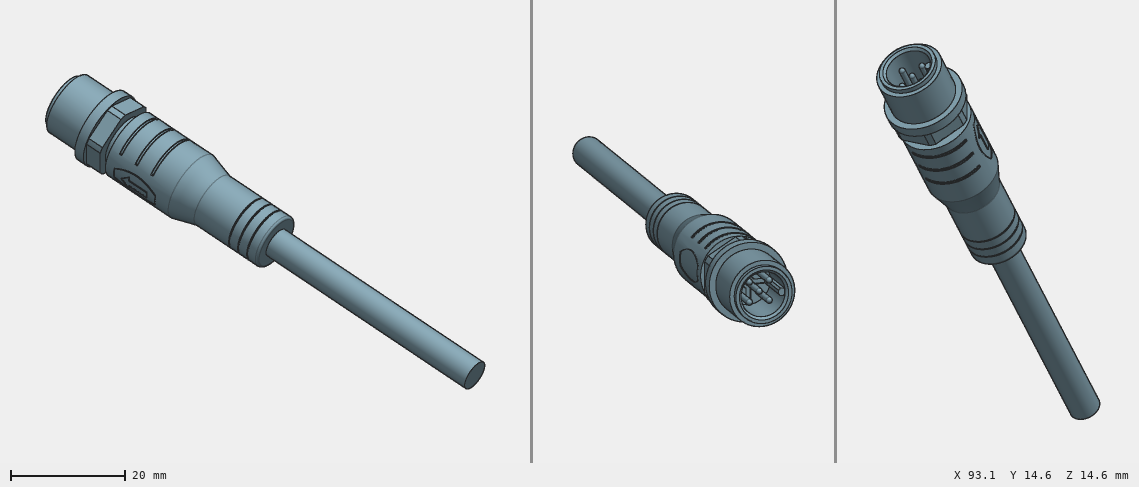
import cadquery as cq
import math

total_length = 93.1
lip_end = 0.9
barrel_end = 8.3
flange_end = 10.2
hex_end = 13.3
neck_end = 14.7
grip_end = 29.0
taper_end = 33.7
connector_end = 48.0

lip_radius = 5.2
barrel_radius = 6.05
flange_radius = 7.3
hex_across_flats = 12.7
hex_corner_radius = 7.0
neck_radius = 4.9
grip_radius = 6.6
sleeve_radius = 5.2
sleeve_end_fillet = 0.5
cable_radius = 2.8

socket_depth = barrel_end
socket_radius = 4.1
socket_mouth_radius = 4.6
mouth_depth = 0.5

pin_radius = 0.6
pin_tip = 2.0
pin_circle_radius = 2.6
pin_offset = pin_circle_radius * math.cos(math.pi / 4)

slot_width = 0.9
slot_reach = 3.5
slot_depth = 0.5
hub_radius = 1.1

key_start = 0.8
key_inner_face = 3.0
key_width = 1.4
key_chamfer = 0.4

recess_depth = 0.2
grip_groove_width = 0.5
grip_groove_first = 16.85
grip_groove_pitch = 3.5
grip_groove_count = 3
grip_groove_end_height = 4.3
label_center = 21.2
label_length = 9.3
label_end_height = 2.6
label_mid_height = 5.4
arrow_tip = 18.25
arrow_head_end = 19.9
arrow_tail = 24.0
arrow_head_height = 3.2
arrow_shaft_height = 1.5
sleeve_groove_width = 0.2
sleeve_groove_depth = 0.3
sleeve_groove_first = 41.6
sleeve_groove_pitch = 2.05
sleeve_groove_count = 3


def cylinder_x(start, end, radius):
    """Cylinder along X between two stations."""
    return cq.Workplane("YZ", origin=(start, 0, 0)).circle(radius).extrude(end - start)


def ring_x(start, end, inner_radius, outer_radius):
    """Tube along X between two stations."""
    return cylinder_x(start, end, outer_radius).cut(cylinder_x(start, end, inner_radius))


def turned_shell():
    """Revolved outer shape of the connector."""
    profile = (
        cq.Workplane("XY")
        .moveTo(0, 0)
        .lineTo(0, lip_radius)
        .lineTo(lip_end, lip_radius)
        .lineTo(lip_end, barrel_radius)
        .lineTo(barrel_end, barrel_radius)
        .lineTo(barrel_end, flange_radius)
        .lineTo(flange_end, flange_radius)
        .lineTo(flange_end, neck_radius)
        .lineTo(neck_end, neck_radius)
        .lineTo(neck_end, grip_radius)
        .lineTo(grip_end, grip_radius)
        .lineTo(taper_end, sleeve_radius)
        .lineTo(connector_end, sleeve_radius)
        .lineTo(connector_end, 0)
        .close()
    )
    shell = profile.revolve(360, (0, 0, 0), (1, 0, 0))
    return shell.faces(">X").edges().fillet(sleeve_end_fillet)


def hex_collar():
    """Hexagon with two flats facing -Y and +Y and its corners turned round."""
    across_corners = hex_across_flats / math.cos(math.pi / 6)
    hexagon = (
        cq.Workplane("YZ", origin=(flange_end, 0, 0))
        .transformed(rotate=(0, 0, 90))
        .polygon(6, across_corners)
        .extrude(hex_end - flange_end)
    )
    return hexagon.intersect(cylinder_x(flange_end, hex_end, hex_corner_radius))


def socket():
    """Blind bore with a conical mouth, open at the mating end."""
    return (
        cq.Workplane("XY")
        .moveTo(0, 0)
        .lineTo(0, socket_mouth_radius)
        .lineTo(mouth_depth, socket_radius)
        .lineTo(socket_depth, socket_radius)
        .lineTo(socket_depth, 0)
        .close()
        .revolve(360, (0, 0, 0), (1, 0, 0))
    )


def cross_slot():
    """Shallow cross in the socket floor, with a round hub."""
    floor = cq.Workplane("YZ", origin=(socket_depth, 0, 0))
    arms = floor.rect(2 * slot_reach, slot_width).extrude(slot_depth)
    arms = arms.union(floor.rect(slot_width, 2 * slot_reach).extrude(slot_depth))
    hub = floor.circle(hub_radius).extrude(slot_depth)
    return arms.union(hub)


def coding_key():
    """Rib on the -Y side of the socket, with its inner edges bevelled."""
    half_width = key_width / 2
    return (
        cq.Workplane("YZ", origin=(key_start, 0, 0))
        .polyline([
            (-socket_mouth_radius, -half_width),
            (-key_inner_face - key_chamfer, -half_width),
            (-key_inner_face, -half_width + key_chamfer),
            (-key_inner_face, half_width - key_chamfer),
            (-key_inner_face - key_chamfer, half_width),
            (-socket_mouth_radius, half_width),
        ])
        .close()
        .extrude(socket_depth - key_start)
    )


def contact_pin(y, z):
    """Contact pin with a domed tip, rooted at the bottom of the cross slot."""
    dome_center = pin_tip + pin_radius
    shaft = cylinder_x(dome_center, socket_depth + slot_depth, pin_radius)
    dome = cq.Workplane("XY", origin=(dome_center, 0, 0)).sphere(pin_radius)
    return shaft.union(dome).translate((0, y, z))


def grip_groove(center):
    """Groove around the top and bottom of the grip, with level ends."""
    start = center - grip_groove_width / 2
    end = center + grip_groove_width / 2
    sides = cq.Workplane("XY").box(
        2 * total_length, 2 * flange_radius, 2 * grip_groove_end_height
    )
    return ring_x(start, end, grip_radius - recess_depth, flange_radius).cut(sides)


def label_outline():
    """Barrel-shaped outline with straight ends and bowed long sides."""
    left = label_center - label_length / 2
    right = label_center + label_length / 2
    end_z = label_end_height / 2
    mid_z = label_mid_height / 2
    return (
        cq.Workplane("XZ")
        .moveTo(left, -end_z)
        .lineTo(left, end_z)
        .threePointArc((label_center, mid_z), (right, end_z))
        .lineTo(right, -end_z)
        .threePointArc((label_center, -mid_z), (left, -end_z))
        .close()
    )


def arrow_outline():
    """Arrow pointing to the mating end."""
    head_z = arrow_head_height / 2
    shaft_z = arrow_shaft_height / 2
    return (
        cq.Workplane("XZ")
        .polyline([
            (arrow_tip, 0),
            (arrow_head_end, head_z),
            (arrow_head_end, shaft_z),
            (arrow_tail, shaft_z),
            (arrow_tail, -shaft_z),
            (arrow_head_end, -shaft_z),
            (arrow_head_end, -head_z),
        ])
        .close()
    )


def label_recesses():
    """Shallow recesses on the -Y and +Y sides; a flush arrow stands in the -Y one."""
    prism = label_outline().extrude(flange_radius, both=True)
    arrow = arrow_outline().extrude(flange_radius)
    skin = ring_x(neck_end, grip_end, grip_radius - recess_depth, flange_radius)
    return prism.cut(arrow).intersect(skin)


def sleeve_groove(center):
    """Narrow groove all around the cable sleeve."""
    start = center - sleeve_groove_width / 2
    end = center + sleeve_groove_width / 2
    return ring_x(start, end, sleeve_radius - sleeve_groove_depth, flange_radius)


def make_connector():
    """Connector: turned shell, hexagon, socket with contacts, and moulded grip."""
    body = turned_shell().union(hex_collar())
    body = body.cut(socket()).cut(cross_slot())
    body = body.union(coding_key())

    pin_places = [(0, 0)]
    for side_y in (-1, 1):
        for side_z in (-1, 1):
            pin_places.append((side_y * pin_offset, side_z * pin_offset))
    for y, z in pin_places:
        body = body.union(contact_pin(y, z))

    for i in range(grip_groove_count):
        body = body.cut(grip_groove(grip_groove_first + i * grip_groove_pitch))
    body = body.cut(label_recesses())
    for i in range(sleeve_groove_count):
        body = body.cut(sleeve_groove(sleeve_groove_first + i * sleeve_groove_pitch))
    return body


def make_cable():
    """Round cable leaving the end of the sleeve."""
    return cylinder_x(connector_end, total_length, cable_radius)


connector = make_connector()
cable = make_cable()

result = cq.Compound.makeCompound([connector.val(), cable.val()])